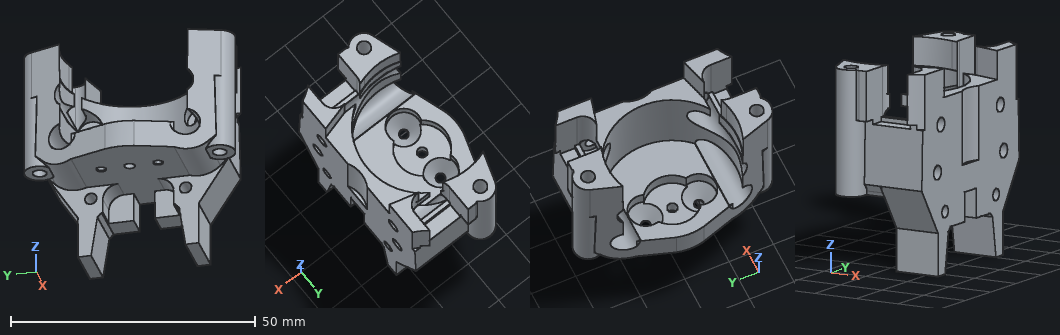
import cadquery as cq
import math

SIDES = (1, -1)
REACH = 89.0

nose_x = -9.0
nose_radius = 11.95
nose_half_width = 3.05
back_x = 17.0
bottom_z = -15.85
top_z = 27.32

bore_radius = 14.4
upper_bore_radius = 14.5
floor_z = 5.8
rim_z = 21.25
shoulder_z = 16.78
shoulder_y = 18.8
belly_z = 3.1
belly_y = 19.15
rounding_radius = 6.3

post_y = 19.05
post_radius = 3.2
post_bottom_z = 0.75
post_hole_diameter = 2.9
post_block_x = (2.45, 3.15, 5.05)
post_block_y = 21.3

pillar_x = 14.0
pillar_tip_y = 19.95
pillar_middle = (15.4, 18.9)
pillar_back_y = 18.02
slot_inner_y = 12.15
slot_corner_radius = 3.0
slot_floor_z = 15.8
slot_ledge_y = 15.55
rim_opening_start_x = 3.65
rim_opening_back_y = 10.4

upper_bolt = (11.65, 15.8)
lower_bolt = (13.0, 5.95)
bolt_diameter = 3.0
bolt_head_diameter = 6.0
bolt_head_start_x = -6.05
bolt_head_end_x = 14.0

recess_radius = 5.95
recess_z = 2.8
centre_hole_diameter = 2.2
screw_y = 6.0
screw_hole_diameter = 2.0
screw_head_diameter = 7.55
screw_head_z = 3.05

relief_radius = 6.6
relief_depth = 0.85

leg_front_x = 7.0
leg_outer_y = 12.75
leg_knee_z = -6.75
leg_foot_inner_y = 9.95
leg_notch = (8.65, -7.15)
leg_tab_bottom = (7.75, -6.25)
leg_tab_inner_y = 2.22
leg_recess_back_x = 12.0
leg_recess_y = 7.48
leg_recess_radius = 3.2
leg_hole = (10.0, -2.7)
leg_hole_diameter = 2.5


def tangent_point(point, centre, radius, side):
    """Point where a line from `point` touches a circle; side (1 or -1) picks the solution."""
    dx = point[0] - centre[0]
    dy = point[1] - centre[1]
    angle = math.atan2(dy, dx) + side * math.acos(radius / math.hypot(dx, dy))
    return (centre[0] + radius * math.cos(angle), centre[1] + radius * math.sin(angle))


def prism_z(sketch, z_low, z_high):
    return sketch.extrude(z_high - z_low).translate((0, 0, z_low))


def prism_x(sketch, x_low, x_high):
    return sketch.extrude(x_high - x_low).translate((x_low, 0, 0))


def plan():
    return cq.Workplane("XY")


def section():
    return cq.Workplane("YZ")


def cylinder_x(centre, diameter, x_low, x_high):
    return prism_x(section().center(*centre).circle(diameter / 2), x_low, x_high)


def cylinder_z(x, y, diameter, z_low, z_high):
    return prism_z(plan().center(x, y).circle(diameter / 2), z_low, z_high)


def both(solid):
    """The solid together with its mirror image across the XZ plane."""
    return solid.union(solid.mirror("XZ"))


def nose_point(angle):
    """Point on the nose arc, with the angle measured from the tip."""
    centre_x = nose_x + nose_radius
    return (centre_x - nose_radius * math.cos(angle), nose_radius * math.sin(angle))


def half_outline():
    """Plan of the +Y side without the round outside of the post, closed along the X axis."""
    nose_angle = math.asin(nose_half_width / nose_radius)
    nose_middle = nose_point(nose_angle / 2)
    nose_corner = nose_point(nose_angle)
    post_touch = tangent_point(nose_corner, (0, post_y), post_radius, -1)
    chamfer_x, block_x, slot_x = post_block_x
    chamfer_y = post_y + math.sqrt(post_radius**2 - chamfer_x**2)
    return (
        plan().moveTo(nose_x, 0)
        .threePointArc(nose_middle, nose_corner)
        .lineTo(*post_touch)
        .lineTo(0, post_y)
        .lineTo(chamfer_x, chamfer_y)
        .lineTo(block_x, post_block_y)
        .lineTo(slot_x, post_block_y)
        .lineTo(slot_x, pillar_tip_y)
        .lineTo(pillar_x, pillar_tip_y)
        .threePointArc(pillar_middle, (back_x, pillar_back_y))
        .lineTo(back_x, 0)
        .close()
    )


def half_body_section():
    """YZ section of the lower body on the +Y side: flat floor, rounded edge, leaning side."""
    rounding_y, rounding_z = lower_bolt
    flat_end_y = rounding_y - math.sqrt(rounding_radius**2 - rounding_z**2)
    touch = tangent_point((belly_y, belly_z), lower_bolt, rounding_radius, -1)
    return (
        section().moveTo(0, 0)
        .lineTo(flat_end_y, 0)
        .threePointArc((rounding_y, rounding_z - rounding_radius), touch)
        .lineTo(belly_y, belly_z)
        .lineTo(shoulder_y, shoulder_z)
        .lineTo(0, shoulder_z)
        .close()
    )


def make_cup():
    lowest_z = lower_bolt[1] - rounding_radius
    upper = both(prism_z(half_outline(), shoulder_z, top_z))
    lower_plan = both(prism_z(half_outline(), lowest_z, shoulder_z))
    fill_outline = plan().center(back_x / 2, 0).rect(back_x, 2 * belly_y)
    side_fill = prism_z(fill_outline, lowest_z, shoulder_z)
    lower_section = both(prism_x(half_body_section(), nose_x, back_x))
    lower = lower_plan.union(side_fill).intersect(lower_section)
    posts = both(cylinder_z(0, post_y, 2 * post_radius, post_bottom_z, top_z))
    return upper.union(lower).union(posts)


def cut_bore_and_rim(body):
    bore = cylinder_z(0, 0, 2 * bore_radius, floor_z, REACH)
    upper_bore = cylinder_z(0, 0, 2 * upper_bore_radius, rim_z, REACH)
    start_y = math.sqrt(upper_bore_radius**2 - rim_opening_start_x**2)
    half_opening = plan().polyline([
        (rim_opening_start_x, 0),
        (rim_opening_start_x, start_y),
        (back_x, rim_opening_back_y),
        (back_x, 0),
    ]).close()
    opening = both(prism_z(half_opening, rim_z, REACH))
    relief_x = back_x - relief_depth + relief_radius
    relief = cylinder_z(relief_x, 0, 2 * relief_radius, floor_z, REACH)
    return body.cut(bore).cut(upper_bore).cut(opening).cut(relief)


def cut_side_slots(body):
    slot_start_x = post_block_x[-1]
    slot_length = pillar_x - slot_start_x
    slot = (
        plan().box(slot_length, REACH, REACH, centered=False)
        .edges("|Z and <Y").fillet(slot_corner_radius)
        .translate((slot_start_x, slot_inner_y, shoulder_z))
    )
    step = (
        plan().box(slot_length, REACH, REACH, centered=False)
        .translate((slot_start_x, slot_ledge_y, slot_floor_z))
    )
    outer_waste = (
        plan().moveTo(pillar_x, pillar_tip_y)
        .threePointArc(pillar_middle, (back_x, pillar_back_y))
        .lineTo(back_x, pillar_tip_y)
        .close()
    )
    pillar_face = prism_z(outer_waste, slot_floor_z, REACH)
    return body.cut(both(slot)).cut(both(step)).cut(both(pillar_face))


def cut_bolts_and_posts(body):
    for side in SIDES:
        for bolt_y, bolt_z in (upper_bolt, lower_bolt):
            centre = (side * bolt_y, bolt_z)
            body = body.cut(cylinder_x(centre, bolt_head_diameter, bolt_head_start_x, bolt_head_end_x))
            body = body.cut(cylinder_x(centre, bolt_diameter, bolt_head_start_x, back_x))
        body = body.cut(cylinder_z(0, side * post_y, post_hole_diameter, 0, top_z))
    return body


def cut_floor(body):
    body = body.cut(cylinder_z(0, 0, 2 * recess_radius, recess_z, floor_z))
    body = body.cut(cylinder_z(0, 0, centre_hole_diameter, 0, floor_z))
    head_radius = screw_head_diameter / 2
    hole_radius = screw_hole_diameter / 2
    cone_depth = head_radius - hole_radius
    for side in SIDES:
        y = side * screw_y
        cone = cq.Solid.makeCone(
            hole_radius, head_radius, cone_depth, pnt=cq.Vector(0, y, screw_head_z - cone_depth)
        )
        body = body.cut(cylinder_z(0, y, screw_head_diameter, screw_head_z, floor_z))
        body = body.cut(cq.Workplane(cone))
        body = body.cut(cylinder_z(0, y, screw_hole_diameter, 0, floor_z))
    return body


def make_leg():
    """Leg on the +Y side with its inner tab, recessed from the front."""
    outline = [
        (belly_y, belly_z),
        (leg_outer_y, leg_knee_z),
        (leg_outer_y, bottom_z),
        (leg_foot_inner_y, bottom_z),
        leg_notch,
        leg_tab_bottom,
        (leg_tab_inner_y, leg_tab_bottom[1]),
        (leg_tab_inner_y, belly_z),
    ]
    leg = prism_x(section().polyline(outline).close(), leg_front_x, back_x)
    recess = (
        plan()
        .box(leg_recess_back_x - leg_front_x, leg_recess_y, -leg_tab_bottom[1], centered=False)
        .edges("|X and >Y and >Z").fillet(leg_recess_radius)
        .translate((leg_front_x, 0, leg_tab_bottom[1]))
    )
    hole = cylinder_x(leg_hole, leg_hole_diameter, leg_front_x, back_x)
    return leg.cut(recess).cut(hole)


cup = make_cup().union(both(make_leg()))
cup = cut_bore_and_rim(cup)
cup = cut_side_slots(cup)
cup = cut_floor(cup)
result = cut_bolts_and_posts(cup)